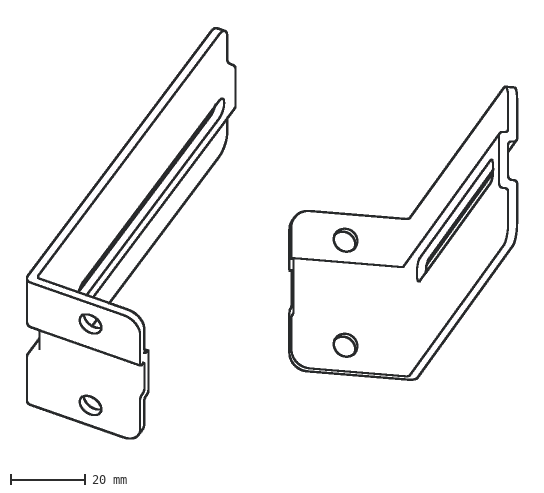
import cadquery as cq

foot_length = 35.0
arm_length = 115.0
height = 45.0

thickness = 2.5
channel_depth = 2.5
channel_width = 11.0
rib_width = channel_width + 2 * thickness
press_radius = 1.0

outer_face = 0.0
inner_face = thickness
channel_floor = channel_depth
rib_face = channel_depth + thickness

outer_bend_radius = 2.0
inner_bend_radius = 1.0
corner_radius = 5.0

hole_diameter = 6.5
hole_x = 20.0
hole_spacing = 30.0
slot_width = 6.5
slot_start_y = 25.0
slot_end_y = 105.0

plain_sheet_z = (height + rib_width) / 4


def quadrant(depth, width):
    """Block filling the plan from the given depth inward, centred on Z = 0."""
    block = cq.Workplane("XY").box(
        foot_length - depth, arm_length - depth, width, centered=(False, False, True)
    )
    return block.translate((depth, depth, 0))


def sharp_bracket():
    """Angle with a channel outside and the matching rib inside, all edges sharp."""
    sheet = quadrant(outer_face, height).cut(quadrant(inner_face, height))
    rib = quadrant(channel_floor, rib_width).cut(quadrant(rib_face, rib_width))
    channel = quadrant(outer_face, channel_width).cut(quadrant(channel_floor, channel_width))
    return sheet.union(rib).cut(channel)


def fillet_nearest(solid, points, radius):
    """Fillet the edges nearest to the points, along with their tangent continuations."""
    edges = [solid.edges(cq.selectors.NearestToPointSelector(point)).val() for point in points]
    return solid.newObject(edges).fillet(radius)


def round_bend(solid, depth, z_levels, radius):
    """Round the upright bend edges at the given depth and heights."""
    points = [(depth, depth, z) for z in z_levels]
    return fillet_nearest(solid, points, radius)


def round_press_lines(solid, depth, width):
    """Round the long edges at the given depth on both sides of the channel or rib."""
    points = []
    for z in (-width / 2, width / 2):
        points.append(((depth + foot_length) / 2, depth, z))
        points.append((depth, (depth + arm_length) / 2, z))
    return fillet_nearest(solid, points, press_radius)


def round_free_corners(solid):
    """Round the four corners at the free ends of the foot and the arm."""
    foot_end = (foot_length, thickness / 2)
    arm_end = (thickness / 2, arm_length)
    points = [(x, y, z) for x, y in (foot_end, arm_end) for z in (-height / 2, height / 2)]
    return fillet_nearest(solid, points, corner_radius)


def foot_holes():
    """Two round holes through the foot, above and below the channel."""
    return (
        cq.Workplane("XZ")
        .pushPoints([(hole_x, -hole_spacing / 2), (hole_x, hole_spacing / 2)])
        .circle(hole_diameter / 2)
        .extrude(-rib_face)
    )


def arm_slot():
    """Long round-ended slot through the channel floor of the arm."""
    middle_y = (slot_start_y + slot_end_y) / 2
    overall_length = slot_end_y - slot_start_y + slot_width
    return (
        cq.Workplane("YZ")
        .center(middle_y, 0)
        .slot2D(overall_length, slot_width)
        .extrude(rib_face)
    )


plain_levels = (-plain_sheet_z, plain_sheet_z)
channel_level = (0,)

result = sharp_bracket()

result = round_bend(result, outer_face, plain_levels, outer_bend_radius)
result = round_press_lines(result, outer_face, channel_width)
result = round_bend(result, inner_face, plain_levels, inner_bend_radius)
result = round_press_lines(result, inner_face, rib_width)

result = round_press_lines(result, channel_floor, channel_width)
result = round_press_lines(result, rib_face, rib_width)
result = round_bend(result, channel_floor, channel_level, outer_bend_radius)
result = round_bend(result, rib_face, channel_level, inner_bend_radius)

result = round_free_corners(result)
result = result.cut(foot_holes()).cut(arm_slot())